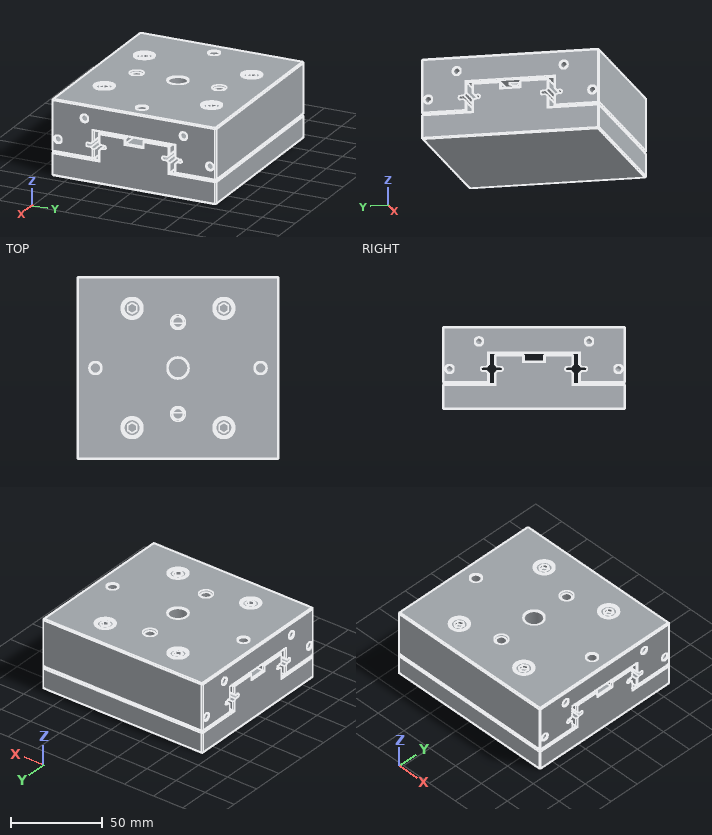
import cadquery as cq
import math

LENGTH = 110.0
WIDTH = 99.5
HEIGHT = 45.0
EDGE_CHAMFER = 0.7

BASE_TOP_Z = 13.9
CARRIAGE_BOTTOM_Z = 14.2
TONGUE_TOP_Z = 29.9
CHANNEL_TOP_Z = 30.5

GAP_CENTER_Y = 23.0
GAP_WIDTH = 3.0
TONGUE_WIDTH = 2 * GAP_CENTER_Y - GAP_WIDTH
CHANNEL_WIDTH = 2 * GAP_CENTER_Y + GAP_WIDTH

VEE_Z = 22.0
VEE_HALF_DIAGONAL = 4.1
RELIEF_LENGTH = 12.0
RELIEF_HEIGHT = 2.2

SLOT_WIDTH = 10.6
SLOT_DEPTH = 3.6

CENTER_HOLE_DIAMETER = 11.0
CENTER_HOLE_CHAMFER = 0.5
END_HOLE_X = 45.0
END_HOLE_DIAMETER = 6.0
END_HOLE_CHAMFER = 0.5
SIDE_HOLE_Y = 25.0
SIDE_HOLE_DIAMETER = 6.0
SIDE_HOLE_CHAMFER = 1.0
SIDE_HOLE_DEPTH = 16.0

SCREW_X = 25.0
SCREW_Y = 32.5
COUNTERBORE_DIAMETER = 11.0
COUNTERBORE_CHAMFER = 0.4
COUNTERBORE_DEPTH = 7.0
HEAD_DIAMETER = 10.0
HEAD_HEIGHT = 6.6
HEAD_CHAMFER = 0.5
HEX_ACROSS_FLATS = 5.0
HEX_DEPTH = 2.5

UPPER_END_POINT = (30.0, 37.0)
LOWER_END_POINT = (46.0, VEE_Z)
TAPPED_DIAMETER = 4.0
TAPPED_CHAMFER = 0.4
TAPPED_DEPTH = 10.0
DRILL_POINT_ANGLE = 118.0


def block(width, bottom_z, top_z):
    """Full-length block centred on the Z axis."""
    return cq.Workplane("XY", origin=(0, 0, bottom_z)).rect(LENGTH, width).extrude(top_z - bottom_z)


def countersunk_hole(diameter, chamfer, depth, point_height=0.0):
    """Hole cutter opening at the origin and running down -Z, with an optional conical bottom."""
    radius = diameter / 2
    profile = [
        (0, 0),
        (radius + chamfer, 0),
        (radius, -chamfer),
        (radius, -depth),
        (0, -depth - point_height),
    ]
    return cq.Workplane("XZ").polyline(profile).close().revolve(360, (0, 0, 0), (0, 1, 0))


def vee_groove_cutters():
    """Diamond and relief slot along X, centred in each rail gap."""
    cutters = cq.Workplane("YZ")
    for side in (-1, 1):
        section = cq.Workplane("YZ", origin=(-LENGTH / 2, side * GAP_CENTER_Y, VEE_Z))
        cutters = cutters.add(section.polygon(4, 2 * VEE_HALF_DIAGONAL).extrude(LENGTH))
        cutters = cutters.add(section.slot2D(RELIEF_LENGTH, RELIEF_HEIGHT).extrude(LENGTH))
    return cutters.combine()


def make_base():
    """Bottom plate with a slotted tongue that carries the inner vee grooves."""
    body = block(WIDTH, 0, BASE_TOP_Z).edges().chamfer(EDGE_CHAMFER)
    tongue = block(TONGUE_WIDTH, 0, TONGUE_TOP_Z)
    slot = block(SLOT_WIDTH, TONGUE_TOP_Z - SLOT_DEPTH, TONGUE_TOP_Z)
    tongue = tongue.cut(slot)
    tongue = tongue.faces("<X or >X or >Z").edges().chamfer(EDGE_CHAMFER)
    return body.union(tongue).cut(vee_groove_cutters())


def screw_head():
    """Socket head whose bearing face lies on the counterbore floor."""
    head = cq.Workplane("XY").circle(HEAD_DIAMETER / 2).extrude(HEAD_HEIGHT)
    head = head.faces(">Z").edges().chamfer(HEAD_CHAMFER)
    across_corners = HEX_ACROSS_FLATS / math.cos(math.pi / 6)
    socket = cq.Workplane("XY").polygon(6, across_corners).extrude(-HEX_DEPTH)
    socket = socket.rotate((0, 0, 0), (0, 0, 1), 30).translate((0, 0, HEAD_HEIGHT))
    return head.cut(socket)


def cut_top_holes(body):
    """Centre hole, two end holes and two countersunk side holes."""
    roof_thickness = HEIGHT - CHANNEL_TOP_Z
    center_hole = countersunk_hole(CENTER_HOLE_DIAMETER, CENTER_HOLE_CHAMFER, roof_thickness)
    end_hole = countersunk_hole(END_HOLE_DIAMETER, END_HOLE_CHAMFER, roof_thickness)
    side_hole = countersunk_hole(SIDE_HOLE_DIAMETER, SIDE_HOLE_CHAMFER, SIDE_HOLE_DEPTH)
    body = body.cut(center_hole.translate((0, 0, HEIGHT)))
    for side in (-1, 1):
        body = body.cut(end_hole.translate((side * END_HOLE_X, 0, HEIGHT)))
        body = body.cut(side_hole.translate((0, side * SIDE_HOLE_Y, HEIGHT)))
    return body


def add_screws(body):
    """Counterbores with the screw heads standing in them."""
    counterbore = countersunk_hole(COUNTERBORE_DIAMETER, COUNTERBORE_CHAMFER, COUNTERBORE_DEPTH)
    head = screw_head()
    for x in (-SCREW_X, SCREW_X):
        for y in (-SCREW_Y, SCREW_Y):
            body = body.cut(counterbore.translate((x, y, HEIGHT)))
            body = body.union(head.translate((x, y, HEIGHT - COUNTERBORE_DEPTH)))
    return body


def cut_end_holes(body):
    """Four tapped holes in each end face."""
    point_height = TAPPED_DIAMETER / 2 / math.tan(math.radians(DRILL_POINT_ANGLE / 2))
    hole = countersunk_hole(TAPPED_DIAMETER, TAPPED_CHAMFER, TAPPED_DEPTH, point_height)
    for end in (-1, 1):
        end_hole = hole.rotate((0, 0, 0), (0, 1, 0), end * 90)
        for side in (-1, 1):
            for y, z in (UPPER_END_POINT, LOWER_END_POINT):
                body = body.cut(end_hole.translate((end * LENGTH / 2, side * y, z)))
    return body


def make_carriage():
    """Top block that straddles the tongue, with its screws."""
    body = block(WIDTH, CARRIAGE_BOTTOM_Z, HEIGHT)
    body = body.cut(block(CHANNEL_WIDTH, CARRIAGE_BOTTOM_Z, CHANNEL_TOP_Z))
    body = body.faces("<X or >X or <Y or >Y").edges().chamfer(EDGE_CHAMFER)
    body = body.cut(vee_groove_cutters())
    return cut_end_holes(add_screws(cut_top_holes(body)))


base = make_base()
carriage = make_carriage()
result = cq.Compound.makeCompound([base.val(), carriage.val()])